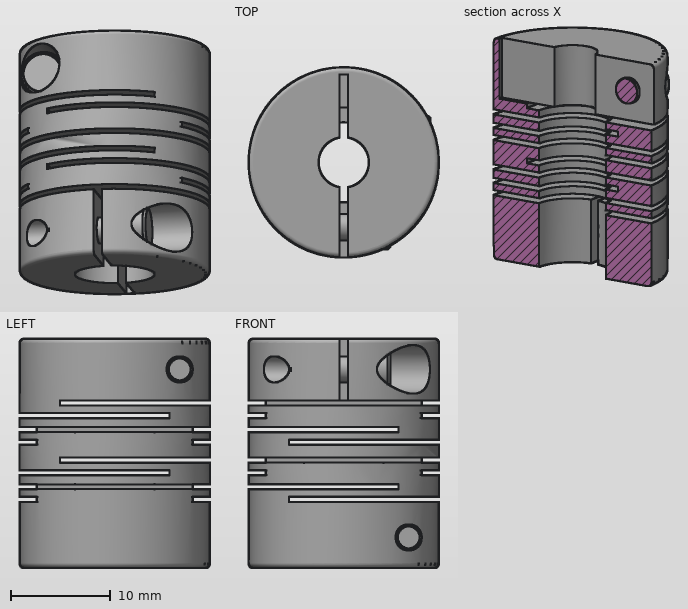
import cadquery as cq

body_length = 23.0
body_radius = 9.55
edge_fillet = 0.48
upper_bore_radius = 2.5
main_bore_radius = 4.0

upper_hub_height = 6.2
slot_height = 0.48
pair_web = 0.78
turn_web = 0.92
group_web = 1.3
beam_offset = 5.47
slot_directions = [(0, -1), (0, 1), (-1, 0), (1, 0)]
group_count = 2

slit_width = 0.83
slit_end = 8.79

screw_offset = 6.5
screw_end_distance = 3.08
screw_radius = 1.3
tip_chamfer = 0.2
tip_position = -5.47
head_radius = 2.2
head_seat = 2.07
head_end = 4.67
head_chamfer = 0.28
counterbore_radius = 2.44

body_diameter = 2 * body_radius
upper_hub_bottom = body_length - upper_hub_height
webs_below_slots = [pair_web, turn_web, pair_web, group_web]
group_pitch = len(slot_directions) * slot_height + sum(webs_below_slots)
lower_hub_height = upper_hub_bottom - group_count * group_pitch + group_web


def make_body():
    """Round body with rounded ends and a bore that narrows in the upper hub."""
    body = cq.Workplane("XZ").rect(body_radius, body_length, centered=False)
    body = body.revolve(360, (0, 0, 0), (0, 1, 0)).edges("%CIRCLE").fillet(edge_fillet)
    main_bore = cq.Workplane("XY").circle(main_bore_radius).extrude(upper_hub_bottom)
    upper_bore = cq.Workplane("XY").circle(upper_bore_radius).extrude(body_length)
    return body.cut(main_bore).cut(upper_bore)


def make_slot(direction, top):
    """Cutter open towards `direction` that leaves a solid segment on the far side."""
    shift = body_radius - beam_offset
    center = (direction[0] * shift, direction[1] * shift, top - slot_height)
    return (
        cq.Workplane("XY", origin=center)
        .rect(body_diameter, body_diameter)
        .extrude(slot_height)
    )


def cut_flexure_slots(body):
    """Cut all slots, working down from the underside of the upper hub."""
    top = upper_hub_bottom
    for _ in range(group_count):
        for direction, web in zip(slot_directions, webs_below_slots):
            body = body.cut(make_slot(direction, top))
            top -= slot_height + web
    return body


def x_cylinder(radius, start, end, height):
    """Cylinder along X on the screw axis at the given height."""
    return (
        cq.Workplane("YZ", origin=(start, -screw_offset, height))
        .circle(radius)
        .extrude(end - start)
    )


def make_clamp_cutter(bottom, height, screw_height):
    """Slit open to -Y, screw hole from -X and counterbore from +X."""
    slit = (
        cq.Workplane("XY", origin=(0, -body_radius, bottom))
        .box(slit_width, slit_end + body_radius, height, centered=(True, False, False))
    )
    hole = x_cylinder(screw_radius, -body_radius, 0, screw_height)
    counterbore = x_cylinder(counterbore_radius, head_seat, body_radius, screw_height)
    return slit.union(hole).union(counterbore)


def make_screw(screw_height):
    """Clamp screw with a chamfered tip towards -X and its head towards +X."""
    shank = x_cylinder(screw_radius, tip_position, head_seat, screw_height)
    shank = shank.faces("<X").chamfer(tip_chamfer)
    head = x_cylinder(head_radius, head_seat, head_end, screw_height)
    head = head.faces(">X").chamfer(head_chamfer)
    return shank.union(head)


def add_clamp(body, bottom, height, screw_height, turn):
    """Cut one hub's clamp and fit its screw, turned about the coupling axis."""
    cutter = make_clamp_cutter(bottom, height, screw_height)
    screw = make_screw(screw_height)
    axis = ((0, 0, 0), (0, 0, 1))
    return body.cut(cutter.rotate(*axis, turn)).union(screw.rotate(*axis, turn))


result = cut_flexure_slots(make_body())
result = add_clamp(result, upper_hub_bottom, upper_hub_height, body_length - screw_end_distance, 0)
result = add_clamp(result, 0, lower_hub_height, screw_end_distance, 90)